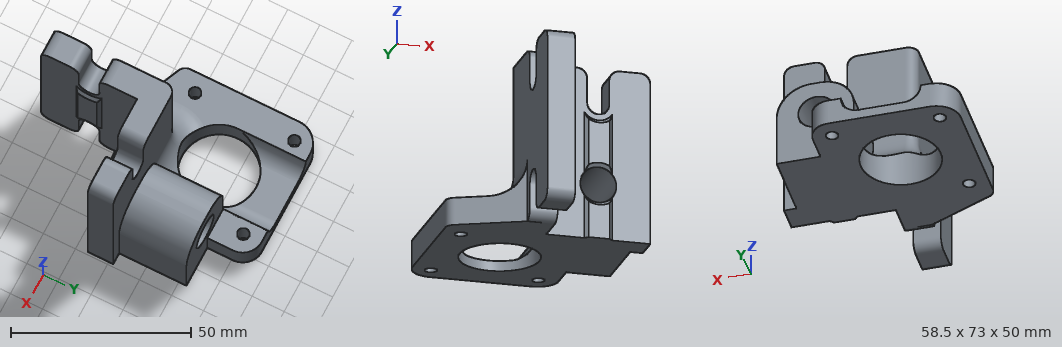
import cadquery as cq
import math


plate_half = 21.15
plate_thickness = 8.0
plate_back_left_radius = 7.0
plate_back_right_radius = 6.0
plate_front_left_radius = 3.0
motor_bore_diameter = 23.0
screw_hole_diameter = 3.5
screw_offset = 15.5
channel_depth = 5.0

wall_thickness = 8.0
wall_height = 50.0
wall_reach = 30.0
side_wall_left = -0.65
rear_wall_back = -13.85
wall_corner_radius = 3.0
side_wall_right = side_wall_left + wall_thickness
rear_wall_front = rear_wall_back - wall_thickness
plate_front_left_y = rear_wall_front
plate_front_right_y = -30.85
root_radius = 10.0

slot_width = 6.4
slot_depth = 10.0
slot_along = wall_reach / 2
upper_slot_z = wall_height - slot_depth
lower_slot_z = slot_depth

rib_height = 1.0
rib_base_width = 8.0
rib_top_width = rib_base_width - 2 * rib_height
slot_rib_clearance = 5.0

rod_x = side_wall_right + slot_along
rod_z = 16.0
rod_hole_diameter = 10.4
boss_back = 7.15
boss_bore_margin = 0.1
boss_left = motor_bore_diameter / 2 + boss_bore_margin
boss_radius = 10.0
boss_top = rod_z + boss_radius
boss_shoulder_z = 17.0
boss_flat_half_width = 1.4


def box(x_min, x_max, y_min, y_max, z_min, z_max):
    """Axis-aligned box between two opposite corners."""
    size = (x_max - x_min, y_max - y_min, z_max - z_min)
    return cq.Workplane("XY").box(*size, centered=False).translate((x_min, y_min, z_min))


def plate_prism(height):
    """Plate outline, with its slanted front edge, extruded up from Z = 0."""
    under_side_wall = side_wall_left + wall_thickness / 2
    outline = [
        (-plate_half, plate_half),
        (plate_half, plate_half),
        (plate_half, rear_wall_front),
        (under_side_wall, rear_wall_front),
        (under_side_wall, plate_front_right_y),
        (side_wall_left, plate_front_right_y),
        (-plate_half, plate_front_left_y),
    ]
    prism = cq.Workplane("XY").polyline(outline).close().extrude(height)
    prism = prism.edges("|Z and <X and >Y").fillet(plate_back_left_radius)
    prism = prism.edges("|Z and >X and >Y").fillet(plate_back_right_radius)
    return prism.edges("|Z").edges("<X").edges("<Y").fillet(plate_front_left_radius)


def slot_tool(along, z, opening):
    """Slot through a wall panel, with flared mouth; opening is +1 (up) or -1 (down)."""
    half = slot_width / 2
    flare = half + wall_corner_radius
    edge_z = z + opening * slot_depth
    flare_z = edge_z - opening * wall_corner_radius
    bend = wall_corner_radius * (1 - math.sqrt(0.5))
    return (
        cq.Workplane("XZ")
        .moveTo(along - half, z)
        .lineTo(along - half, flare_z)
        .threePointArc((along - half - bend, edge_z - opening * bend), (along - flare, edge_z))
        .lineTo(along + flare, edge_z)
        .threePointArc((along + half + bend, edge_z - opening * bend), (along + half, flare_z))
        .lineTo(along + half, z)
        .threePointArc((along, z - opening * half), (along - half, z))
        .close()
        .extrude(-wall_thickness)
    )


def rib_relief(along, z, radius):
    """Cone, widening outwards, that bevels a rib around a slot or hole."""
    cone = cq.Solid.makeCone(
        radius, radius + rib_height, rib_height, cq.Vector(along, 0, z), cq.Vector(0, -1, 0)
    )
    return cq.Workplane(obj=cone)


def rib():
    """Full-height bevelled rib standing on the inner face of a panel."""
    profile = [
        (slot_along - rib_base_width / 2, 0),
        (slot_along - rib_top_width / 2, -rib_height),
        (slot_along + rib_top_width / 2, -rib_height),
        (slot_along + rib_base_width / 2, 0),
    ]
    return cq.Workplane("XY").polyline(profile).close().extrude(wall_height)


def panel():
    """Wall panel, inner face on Y = 0 and its root corner on X = 0."""
    return box(-wall_thickness, wall_reach, 0, wall_thickness, 0, wall_height)


def rear_wall():
    wall = panel().edges("|Y and >X and >Z").fillet(wall_corner_radius)
    wall = wall.edges("|Z and <X and >Y").fillet(wall_corner_radius)
    wall = wall.cut(slot_tool(slot_along, upper_slot_z, 1))
    rail = rib().intersect(box(0, wall_reach, -rib_height, 0, 0, upper_slot_z))
    rail = rail.cut(rib_relief(slot_along, upper_slot_z, slot_rib_clearance))
    rail = rail.cut(rib_relief(slot_along, rod_z, rod_hole_diameter / 2))
    return wall.union(rail).translate((side_wall_right, rear_wall_front, 0))


def side_wall():
    """The same panel mirrored across the L's diagonal, with a slot at both ends."""
    wall = panel().edges("|Y and >X").fillet(wall_corner_radius)
    wall = wall.edges("|Z and <X and >Y").fillet(wall_corner_radius)
    rail = rib().intersect(box(0, wall_reach, -rib_height, 0, lower_slot_z, upper_slot_z))
    for z, opening in ((upper_slot_z, 1), (lower_slot_z, -1)):
        wall = wall.cut(slot_tool(slot_along, z, opening))
        rail = rail.cut(rib_relief(slot_along, z, slot_rib_clearance))
    wall = wall.union(rail).mirror("XZ").rotate((0, 0, 0), (0, 0, 1), -90)
    return wall.translate((side_wall_right, rear_wall_front, 0))


def root_profile(plane, start):
    """Concave quarter-round section of the wall root, foot at the given start distance."""
    reach = root_radius * (1 - math.sqrt(0.5))
    return (
        cq.Workplane(plane)
        .moveTo(start, 0)
        .lineTo(start + root_radius, 0)
        .threePointArc((start + reach, reach), (start, root_radius))
        .close()
    )


def wall_root():
    """Fillet that follows the outside of the L where it rises from the plate."""
    corner_x = side_wall_left + wall_corner_radius
    corner_y = rear_wall_back - wall_corner_radius
    behind = root_profile("YZ", wall_corner_radius).extrude(boss_left - corner_x)
    beside = root_profile("XZ", wall_corner_radius).extrude(corner_y - plate_front_right_y)
    beside = beside.mirror("YZ")
    bend = root_profile("XZ", wall_corner_radius).revolve(360, (0, 0, 0), (0, 1, 0))
    limit = root_radius + wall_corner_radius
    bend = bend.intersect(box(-limit, 0, 0, limit, 0, root_radius))
    root = behind.union(beside).union(bend).translate((corner_x, corner_y, plate_thickness))
    return root.intersect(plate_prism(wall_height))


def boss():
    """Rod boss: rounded block behind the rear wall, standing on Z = 0.

    Its left flank stops just short of the motor bore and blends into the rounded top
    with a smaller arc that is tangent to both.
    """
    round_left = rod_x - boss_flat_half_width
    round_right = rod_x + boss_flat_half_width
    flank_to_round = round_left - boss_left
    rise = boss_shoulder_z - rod_z
    blend_radius = (boss_radius**2 - flank_to_round**2 - rise**2) / (2 * (boss_radius - flank_to_round))
    stretch = boss_radius / (boss_radius - blend_radius)
    blend_end_x = round_left + (boss_left + blend_radius - round_left) * stretch
    blend_end_z = rod_z + rise * stretch
    return (
        cq.Workplane("XZ", origin=(0, boss_back, 0))
        .moveTo(boss_left, 0)
        .lineTo(boss_left, boss_shoulder_z)
        .radiusArc((blend_end_x, blend_end_z), blend_radius)
        .radiusArc((round_left, boss_top), boss_radius)
        .lineTo(round_right, boss_top)
        .radiusArc((round_right + boss_radius, rod_z), boss_radius)
        .lineTo(round_right + boss_radius, 0)
        .close()
        .extrude(boss_back - rear_wall_front - wall_thickness / 2)
    )


def channel():
    """Open channel with rounded sides, from the motor bore to the back edge."""
    half_top = motor_bore_diameter / 2
    half_floor = half_top - channel_depth
    floor_z = plate_thickness - channel_depth
    bend = channel_depth * math.sqrt(0.5)
    return (
        cq.Workplane("XZ")
        .moveTo(-half_top, plate_thickness)
        .threePointArc((-half_floor - bend, plate_thickness - bend), (-half_floor, floor_z))
        .lineTo(half_floor, floor_z)
        .threePointArc((half_floor + bend, plate_thickness - bend), (half_top, plate_thickness))
        .close()
        .extrude(-plate_half)
    )


def vertical_hole(x, y, diameter):
    return cq.Workplane("XY").center(x, y).circle(diameter / 2).extrude(wall_height)


def rod_hole():
    hole = cq.Workplane("XZ", origin=(0, boss_back, 0)).center(rod_x, rod_z)
    return hole.circle(rod_hole_diameter / 2).extrude(boss_back - rear_wall_front + rib_height)


result = plate_prism(plate_thickness).union(wall_root())
result = result.cut(channel()).cut(vertical_hole(0, 0, motor_bore_diameter))
for x_side, y_side in ((-1, 1), (1, 1), (-1, -1)):
    result = result.cut(vertical_hole(x_side * screw_offset, y_side * screw_offset, screw_hole_diameter))
result = result.union(rear_wall()).union(side_wall()).union(boss()).cut(rod_hole())